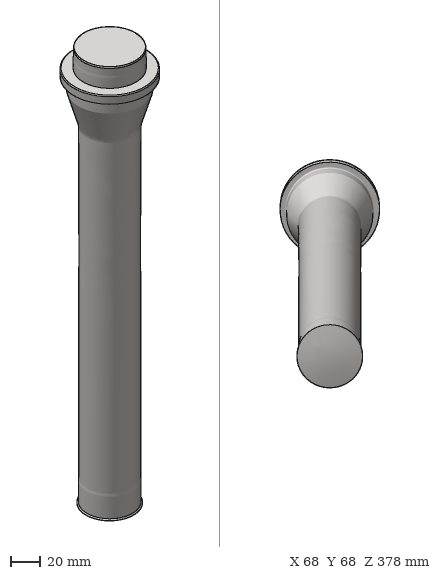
import cadquery as cq
import math

overall_height = 377.98

plug_diameter = 49.99
plug_lead_diameter = 49.7
plug_length = 17.5
lead_length = 7.5
lead_taper_length = 2.0
tip_chamfer_height = 1.2
tip_chamfer_angle = 20.0

flange_diameter = 68.0
flange_thickness = 7.0
flange_chamfer = 0.8
collar_diameter = 59.0
collar_length = 11.0
collar_fillet = 1.0

shoulder_length = 29.8
knee_height = 3.2
knee_offset = 0.3

stem_diameter = 42.9
relief_diameter = 42.46
neck_length = 4.7
relief_taper_length = 120.5
relief_length = 164.0
relief_end_taper_length = 2.2

lip_diameter = 45.0
dome_height = 2.2

stem_radius = stem_diameter / 2
lip_radius = lip_diameter / 2
lip_flare = lip_radius - stem_radius

top_z = overall_height
seat_z = top_z - plug_length
flange_bottom_z = seat_z - flange_thickness
collar_bottom_z = flange_bottom_z - collar_length
neck_top_z = collar_bottom_z - shoulder_length
neck_bottom_z = neck_top_z - neck_length
relief_top_z = neck_bottom_z - relief_taper_length
relief_bottom_z = relief_top_z - relief_length
cap_top_z = dome_height + lip_flare


def turn(profile):
    """Revolve a closed half profile, drawn as radius and height, about the Z axis."""
    return profile.close().revolve(360, (0, 0, 0), (0, 1, 0))


def make_stem():
    plug_radius = plug_diameter / 2
    lead_radius = plug_lead_diameter / 2
    tip_radius = lead_radius - tip_chamfer_height * math.tan(math.radians(tip_chamfer_angle))
    flange_radius = flange_diameter / 2
    collar_radius = collar_diameter / 2
    relief_radius = relief_diameter / 2

    knee = (stem_radius + knee_offset, neck_top_z + knee_height)
    cone_direction = (knee[0] - collar_radius, knee[1] - collar_bottom_z)
    down = (0, -1)

    head = (
        cq.Workplane("XZ")
        .moveTo(0, top_z)
        .lineTo(tip_radius, top_z)
        .lineTo(lead_radius, top_z - tip_chamfer_height)
        .lineTo(lead_radius, top_z - lead_length)
        .lineTo(plug_radius, top_z - lead_length - lead_taper_length)
        .lineTo(plug_radius, seat_z)
        .lineTo(flange_radius - flange_chamfer, seat_z)
        .lineTo(flange_radius, seat_z - flange_chamfer)
        .lineTo(flange_radius, flange_bottom_z)
        .lineTo(collar_radius + collar_fillet, flange_bottom_z)
        .radiusArc((collar_radius, flange_bottom_z - collar_fillet), -collar_fillet)
        .lineTo(collar_radius, collar_bottom_z)
    )
    profile = (
        head.spline([knee, (stem_radius, neck_top_z)], tangents=[cone_direction, down], includeCurrent=True)
        .lineTo(stem_radius, neck_bottom_z)
        .lineTo(relief_radius, relief_top_z)
        .lineTo(relief_radius, relief_bottom_z)
        .lineTo(stem_radius, relief_bottom_z - relief_end_taper_length)
        .lineTo(stem_radius, cap_top_z)
        .lineTo(0, cap_top_z)
    )
    return turn(profile)


def make_cap():
    dome_radius = (lip_radius**2 + dome_height**2) / (2 * dome_height)
    half_angle = math.asin(lip_radius / dome_radius) / 2
    dome_middle = (
        dome_radius * math.sin(half_angle),
        dome_radius * (1 - math.cos(half_angle)),
    )
    profile = (
        cq.Workplane("XZ")
        .moveTo(0, cap_top_z)
        .lineTo(stem_radius, cap_top_z)
        .lineTo(lip_radius, dome_height)
        .threePointArc(dome_middle, (0, 0))
    )
    return turn(profile)


stem = make_stem()
cap = make_cap()
result = cq.Compound.makeCompound([stem.val(), cap.val()])